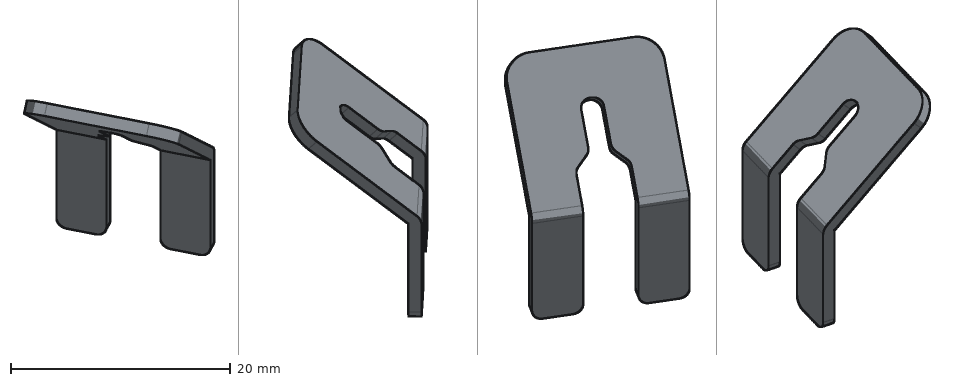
import cadquery as cq
import math

width = 14.8
thickness = 1.2
leg_length = 11.0
plate_length = 14.8
plate_elevation = 42
bend_angle = 90 - plate_elevation

wide_slot_width = 5.19
narrow_slot_width = 2.14
taper_start = 3.31
taper_end = 4.84
slot_end = 9.8
taper_radius = 1.0
slot_end_radius = 1.0

plate_corner_radius = 2.5
leg_corner_radius = 1.0


def make_leg_section():
    """Vertical section, with its inner bend edge on the X axis."""
    section = cq.Workplane("XY").box(width, thickness, leg_length, centered=(True, False, False))
    section = section.translate((0, 0, -leg_length))
    gap = cq.Workplane("XY").box(wide_slot_width, thickness, leg_length, centered=(True, False, False))
    section = section.cut(gap.translate((0, 0, -leg_length)))
    return section.faces("<Z").edges("|Y").fillet(leg_corner_radius)


def make_slot():
    """Stepped slot with tapered shoulders, drawn upright before the plate is tilted."""
    wide = wide_slot_width / 2
    narrow = narrow_slot_width / 2
    slot = (
        cq.Workplane("XZ")
        .polyline([
            (-wide, 0),
            (-wide, taper_start),
            (-narrow, taper_end),
            (-narrow, slot_end),
            (narrow, slot_end),
            (narrow, taper_end),
            (wide, taper_start),
            (wide, 0),
        ])
        .close()
        .extrude(-thickness)
    )
    slot = slot.faces(">Z").edges("|Y").fillet(slot_end_radius)
    shoulder_size = (wide_slot_width + thickness, 2 * thickness, taper_end - taper_start + thickness)
    shoulder_center = cq.Vector(0, thickness / 2, (taper_start + taper_end) / 2)
    shoulders = cq.selectors.BoxSelector(
        shoulder_center - cq.Vector(*shoulder_size) / 2,
        shoulder_center + cq.Vector(*shoulder_size) / 2,
    )
    return slot.edges("|Y").edges(shoulders).fillet(taper_radius)


def make_plate():
    """Rounded plate with the slot, tilted about the inner bend edge."""
    plate = cq.Workplane("XY").box(width, thickness, plate_length, centered=(True, False, False))
    plate = plate.faces(">Z").edges("|Y").fillet(plate_corner_radius)
    plate = plate.cut(make_slot())
    return plate.rotate((0, 0, 0), (1, 0, 0), bend_angle)


def make_bend():
    """Round wedge joining the two sections on both sides of the slot."""
    start = (thickness, 0)
    half = math.radians(bend_angle / 2)
    middle = (thickness * math.cos(half), thickness * math.sin(half))
    full = math.radians(bend_angle)
    end = (thickness * math.cos(full), thickness * math.sin(full))
    wedge = (
        cq.Workplane("YZ")
        .lineTo(*start)
        .threePointArc(middle, end)
        .close()
        .extrude(width / 2, both=True)
    )
    gap = cq.Workplane("XY").box(wide_slot_width, 4 * thickness, 4 * thickness)
    return wedge.cut(gap)


result = make_leg_section().union(make_bend()).union(make_plate())